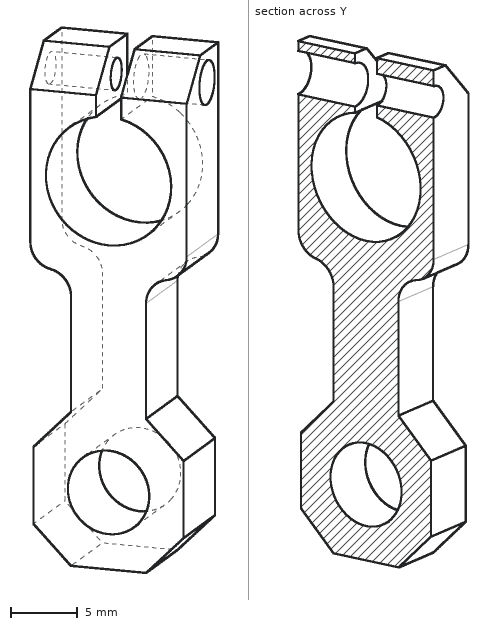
import cadquery as cq
import math

thickness = 7.0
total_height = 39.85

foot_size = 12.0
foot_corner = 3.0
pivot_diameter = 6.5
pivot_z = foot_size / 2

neck_width = foot_size - 2 * foot_corner
neck_top_z = 21.0

head_width = 12.5
shoulder_radius = 2.0
clamp_diameter = 10.0
clamp_z = 30.25
slit_width = 2.0
head_chamfer = 3.0

screw_top_offset = 2.5
screw_back_offset = 2.5
thread_diameter = 2.46
clearance_diameter = 3.4
screw_y = thickness / 2 - screw_back_offset
screw_z = total_height - screw_top_offset

shoulder_width = (head_width - neck_width) / 2
arc_angle = math.acos(1 - shoulder_width / 2 / shoulder_radius)
shoulder_height = 2 * shoulder_radius * math.sin(arc_angle)
head_base_z = neck_top_z + shoulder_height
arc_half_angle = arc_angle / 2
arc_mid_inset = shoulder_radius * (1 - math.cos(arc_half_angle))
arc_mid_rise = shoulder_radius * math.sin(arc_half_angle)


def make_body():
    """Half outline in XZ, extruded through the thickness and mirrored across X = 0."""
    half_foot = foot_size / 2
    half_neck = neck_width / 2
    half_head = head_width / 2
    half = (
        cq.Workplane("XZ", origin=(0, thickness / 2, 0))
        .lineTo(half_foot - foot_corner, 0)
        .lineTo(half_foot, foot_corner)
        .lineTo(half_foot, foot_size - foot_corner)
        .lineTo(half_neck, foot_size)
        .lineTo(half_neck, neck_top_z)
        .threePointArc(
            (half_neck + arc_mid_inset, neck_top_z + arc_mid_rise),
            (half_neck + shoulder_width / 2, neck_top_z + shoulder_height / 2),
        )
        .threePointArc(
            (half_head - arc_mid_inset, head_base_z - arc_mid_rise),
            (half_head, head_base_z),
        )
        .lineTo(half_head, total_height)
        .lineTo(0, total_height)
        .close()
        .extrude(thickness)
    )
    return half.union(half.mirror("YZ")).clean()


def bevel_head(body):
    """Chamfer the top edge of the head on its -Y face."""
    return body.faces(">Z").edges("<Y").chamfer(head_chamfer)


def make_bore(diameter, z):
    """Cylinder through the full thickness along Y."""
    back_face = cq.Workplane("XZ", origin=(0, thickness / 2, z))
    return back_face.circle(diameter / 2).extrude(thickness)


def make_slit():
    """Slot from the clamp bore up through the top of the head."""
    slit_height = total_height - clamp_z
    return (
        cq.Workplane("XY")
        .workplane(offset=clamp_z)
        .rect(slit_width, thickness)
        .extrude(slit_height)
    )


def make_screw_hole(diameter, length):
    """Cylinder along X from the middle of the slit; a negative length runs toward -X."""
    return cq.Workplane("YZ").center(screw_y, screw_z).circle(diameter / 2).extrude(length)


result = (
    bevel_head(make_body())
    .cut(make_bore(pivot_diameter, pivot_z))
    .cut(make_bore(clamp_diameter, clamp_z))
    .cut(make_slit())
    .cut(make_screw_hole(thread_diameter, -head_width))
    .cut(make_screw_hole(clearance_diameter, head_width))
)